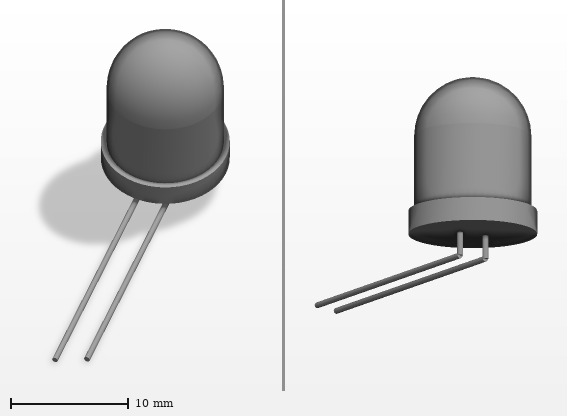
import cadquery as cq

flange_diameter = 11.0
flange_height = 2.0
body_diameter = 10.0
dome_base_height = 8.58
lead_diameter = 0.5
lead_spacing = 2.55
lead_drop = 2.0
overall_length = 29.5
short_lead_difference = 1.0

body_radius = body_diameter / 2
lead_radius = lead_diameter / 2
long_lead_reach = overall_length - flange_diameter / 2
short_lead_reach = long_lead_reach - short_lead_difference


def make_lens():
    """Flange and cylinder under a hemispherical dome, revolved as one profile."""
    profile = (
        cq.Workplane("XZ")
        .lineTo(flange_diameter / 2, 0)
        .lineTo(flange_diameter / 2, flange_height)
        .lineTo(body_radius, flange_height)
        .lineTo(body_radius, dome_base_height)
        .radiusArc((0, dome_base_height + body_radius), -body_radius)
        .close()
    )
    return profile.revolve(360, (0, 0, 0), (0, 1, 0))


def make_lead(x, reach):
    """Vertical pin from the flange, meeting a horizontal pin that runs toward -Y."""
    drop = cq.Workplane("XY").center(x, 0).circle(lead_radius).extrude(-lead_drop)
    run = cq.Workplane("XZ").center(x, -lead_drop).circle(lead_radius).extrude(reach)
    return drop.union(run)


result = (
    make_lens()
    .union(make_lead(-lead_spacing / 2, long_lead_reach))
    .union(make_lead(lead_spacing / 2, short_lead_reach))
)